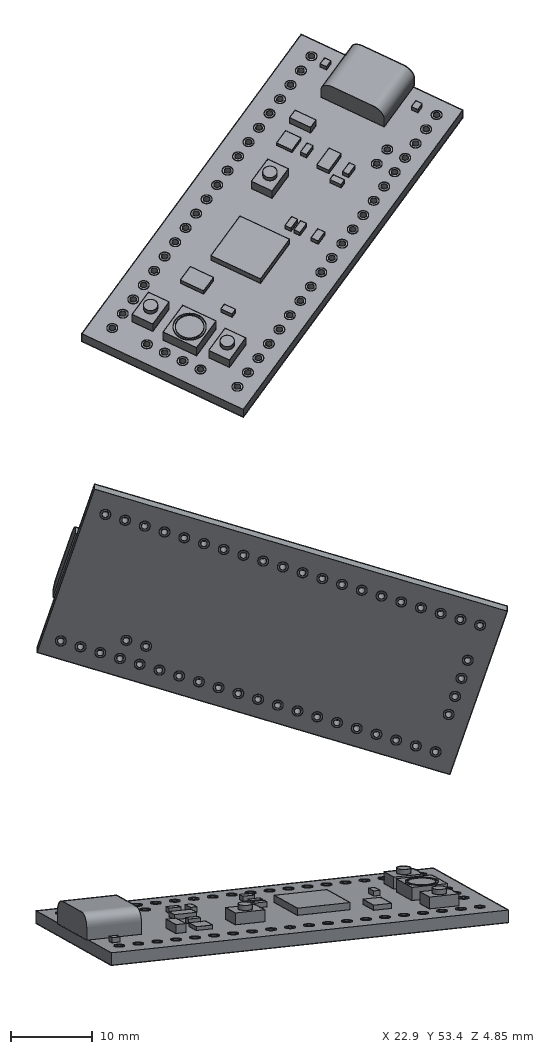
import cadquery as cq


TOTAL_LENGTH = 53.35

BOARD_WIDTH = 22.95
BOARD_LENGTH = 53.1
BOARD_THICKNESS = 1.6

PINS_PER_SIDE = 20
PIN_COLUMN_LENGTH = 48.2
PIN_PITCH = PIN_COLUMN_LENGTH / (PINS_PER_SIDE - 1)
PITCHES_BETWEEN_COLUMNS = 7
PIN_COLUMN_SPACING = PITCHES_BETWEEN_COLUMNS * PIN_PITCH
PIN_COLUMNS_X = 0.2
FIRST_PIN_Y = 2.6
INNER_PIN_ROWS = (15, 16)
FRONT_PINS = 4
FRONT_PINS_X = 0.05
PAD_DIAMETER = 1.35
PIN_HOLE_DIAMETER = 0.8
PAD_THICKNESS = 0.05

USB_WIDTH = 8.95
USB_LENGTH = 7.3
USB_HEIGHT = 3.2
USB_CORNER_RADIUS = 1.6

BUTTON_WIDTH = 2.95
BUTTON_LENGTH = 3.95
BUTTON_BODY_HEIGHT = 1.5
BUTTON_CAP_DIAMETER = 1.75
BUTTON_CAP_HEIGHT = 0.65
FRONT_BUTTONS_Y = 6.65
BUTTON_CENTRES = ((-3.3, 31.65), (-5.6, FRONT_BUTTONS_Y), (5.3, FRONT_BUTTONS_Y))

LAMP_SIDE = 4.75
LAMP_HEIGHT = 1.65
LAMP_Y = 6.55
RING_OUTER_DIAMETER = 4.05
RING_INNER_DIAMETER = 3.5
RING_DEPTH = 0.1

PROCESSOR_SIDE = 7.05
PROCESSOR_HEIGHT = 0.9
PROCESSOR_Y = 21.25
MEMORY_SIZE = (3.3, 2.4, 0.65)
MEMORY_CENTRE = (-3.3, 14.0)
REGULATOR_SIZE = (2.2, 2.2, 0.5)
REGULATOR_CENTRE = (-4.4, 38.05)
DIODE_SIZE = (3.0, 1.35, 1.1)
DIODE_CENTRE = (-4.3, 41.35)
CRYSTAL_SIZE = (1.7, 3.0, 0.65)
CRYSTAL_CENTRE = (1.4, 37.9)

CHIP_WIDTH = 0.85
CHIP_LENGTH = 1.6
CHIP_HEIGHT = 0.65
CHIPS_ALONG_Y = ((-1.75, 37.9), (4.2, 37.9), (2.3, 27.25), (3.6, 27.25))
CHIPS_ALONG_X = ((3.85, 35.75), (2.35, 11.9))
WIDE_CHIP_WIDTH = 1.0
WIDE_CHIP_CENTRE = (6.1, 27.25)
REAR_LED_SIZE = (0.9, 1.05, 0.65)
REAR_LED_SPACING = 12.95
REAR_LED_Y = 50.5


def block(size, centre):
    """A rectangular component standing on the board."""
    return cq.Workplane("XY").center(*centre).box(*size, centered=(True, True, False))


def disc(diameter, height, centre, base_z):
    """An upright cylinder."""
    return cq.Workplane("XY", origin=(*centre, base_z)).circle(diameter / 2).extrude(height)


def pin_centres():
    """Centres of all plated holes."""
    left_x = PIN_COLUMNS_X - PIN_COLUMN_SPACING / 2
    right_x = PIN_COLUMNS_X + PIN_COLUMN_SPACING / 2
    centres = []
    for row in range(PINS_PER_SIDE):
        y = FIRST_PIN_Y + row * PIN_PITCH
        centres += [(left_x, y), (right_x, y)]
        if row in INNER_PIN_ROWS:
            centres.append((right_x - PIN_PITCH, y))
    for column in range(FRONT_PINS):
        x = FRONT_PINS_X + (column - (FRONT_PINS - 1) / 2) * PIN_PITCH
        centres.append((x, FIRST_PIN_Y))
    return centres


def board():
    """The board with a thin round pad on both faces of every plated hole."""
    plate = (
        cq.Workplane("XY", origin=(0, 0, -BOARD_THICKNESS))
        .box(BOARD_WIDTH, BOARD_LENGTH, BOARD_THICKNESS, centered=(True, False, False))
    )
    bottom_z = -BOARD_THICKNESS - PAD_THICKNESS
    through = BOARD_THICKNESS + 2 * PAD_THICKNESS
    at_pins = cq.Workplane("XY", origin=(0, 0, bottom_z)).pushPoints(pin_centres())
    pads = at_pins.circle(PAD_DIAMETER / 2).extrude(through)
    holes = at_pins.circle(PIN_HOLE_DIAMETER / 2).extrude(through)
    return plate.union(pads).cut(holes)


def usb_socket():
    """The socket with its two long upper edges rounded."""
    centre = (0, TOTAL_LENGTH - USB_LENGTH / 2)
    shell = block((USB_WIDTH, USB_LENGTH, USB_HEIGHT), centre)
    return shell.faces(">Z").edges("|Y").fillet(USB_CORNER_RADIUS)


def button(centre):
    """A push button: rectangular body with a round cap."""
    body = block((BUTTON_WIDTH, BUTTON_LENGTH, BUTTON_BODY_HEIGHT), centre)
    return body.union(disc(BUTTON_CAP_DIAMETER, BUTTON_CAP_HEIGHT, centre, BUTTON_BODY_HEIGHT))


def lamp():
    """The square lamp with a shallow ring groove."""
    centre = (0, LAMP_Y)
    floor_z = LAMP_HEIGHT - RING_DEPTH
    groove = disc(RING_OUTER_DIAMETER, RING_DEPTH, centre, floor_z).cut(
        disc(RING_INNER_DIAMETER, RING_DEPTH, centre, floor_z)
    )
    return block((LAMP_SIDE, LAMP_SIDE, LAMP_HEIGHT), centre).cut(groove)


def chips():
    """All plain rectangular components."""
    parts = [
        block((PROCESSOR_SIDE, PROCESSOR_SIDE, PROCESSOR_HEIGHT), (0, PROCESSOR_Y)),
        block(MEMORY_SIZE, MEMORY_CENTRE),
        block(REGULATOR_SIZE, REGULATOR_CENTRE),
        block(DIODE_SIZE, DIODE_CENTRE),
        block(CRYSTAL_SIZE, CRYSTAL_CENTRE),
        block((WIDE_CHIP_WIDTH, CHIP_LENGTH, CHIP_HEIGHT), WIDE_CHIP_CENTRE),
    ]
    for centre in CHIPS_ALONG_Y:
        parts.append(block((CHIP_WIDTH, CHIP_LENGTH, CHIP_HEIGHT), centre))
    for centre in CHIPS_ALONG_X:
        parts.append(block((CHIP_LENGTH, CHIP_WIDTH, CHIP_HEIGHT), centre))
    for side in (-1, 1):
        parts.append(block(REAR_LED_SIZE, (side * REAR_LED_SPACING / 2, REAR_LED_Y)))
    return parts


result = board().union(usb_socket()).union(lamp())
for centre in BUTTON_CENTRES:
    result = result.union(button(centre))
for chip in chips():
    result = result.union(chip)